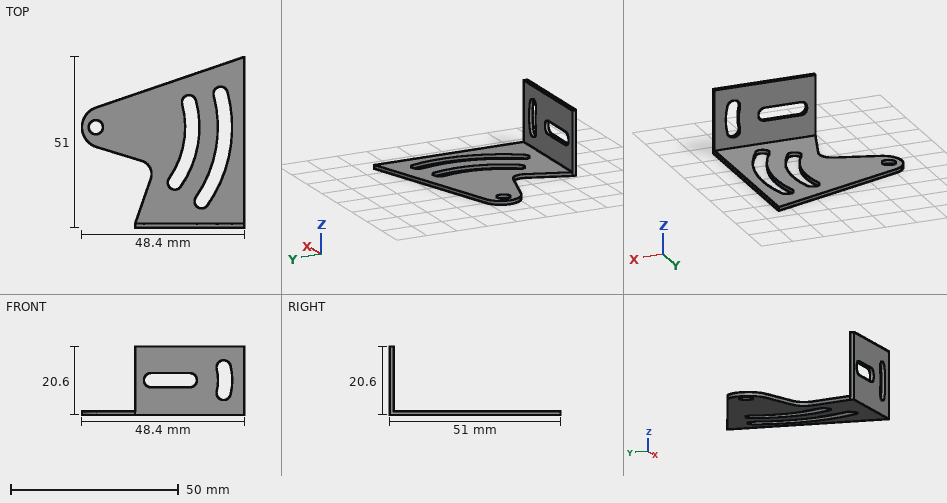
import cadquery as cq
import math

thickness = 1.2
right_x = 44.3
back_y = 21.0
front_y = back_y - 50.95

pivot_diameter = 4.2
nose_center = (2.05, 0.0)
nose_radius = 6.2

notch_corner = (17.75, -11.3)
notch_radius = 4.1

flange_length = 32.6
flange_height = 20.55
flange_left_x = right_x - flange_length

slot_width = 4.2
plate_slot_radii = (28.75, 38.5)
plate_slot_start_angle = -35
plate_slot_end_angle = 15

flange_slot_x = right_x - 22.05
flange_slot_z = 10.45
straight_slot_length = 15.75
curved_slot_radius = 16.3
curved_slot_half_angle = 13.5


def polar(center, radius, degrees):
    """Point at a radius and angle from a centre."""
    angle = math.radians(degrees)
    return (center[0] + radius * math.cos(angle), center[1] + radius * math.sin(angle))


def nose_tangent_point(point, side):
    """Where a line from a point touches the nose: side 1 is the back, -1 the front."""
    dx = point[0] - nose_center[0]
    dy = point[1] - nose_center[1]
    bearing = math.degrees(math.atan2(dy, dx))
    opening = math.degrees(math.acos(nose_radius / math.hypot(dx, dy)))
    return polar(nose_center, nose_radius, bearing + side * opening)


def arc_slot(plane, center, radius, start_angle, end_angle):
    """Closed outline of a round-ended slot along an arc."""
    inner = radius - slot_width / 2
    outer = radius + slot_width / 2
    middle_angle = (start_angle + end_angle) / 2
    cap_angle = math.degrees(slot_width / 2 / radius)
    return (
        plane.moveTo(*polar(center, inner, start_angle))
        .threePointArc(polar(center, inner, middle_angle), polar(center, inner, end_angle))
        .threePointArc(polar(center, radius, end_angle + cap_angle), polar(center, outer, end_angle))
        .threePointArc(polar(center, outer, middle_angle), polar(center, outer, start_angle))
        .threePointArc(polar(center, radius, start_angle - cap_angle), polar(center, inner, start_angle))
        .close()
    )


def make_plate():
    """Flat plate with its nose, notch, pivot hole and two arc slots."""
    back_corner = (right_x, back_y)
    plate = (
        cq.Workplane("XY")
        .moveTo(*back_corner)
        .lineTo(*nose_tangent_point(back_corner, 1))
        .threePointArc(
            polar(nose_center, nose_radius, 180),
            nose_tangent_point(notch_corner, -1),
        )
        .lineTo(*notch_corner)
        .lineTo(flange_left_x, front_y + thickness)
        .lineTo(flange_left_x, front_y)
        .lineTo(right_x, front_y)
        .close()
        .extrude(thickness)
    )
    notch_edge = cq.selectors.NearestToPointSelector((*notch_corner, thickness / 2))
    plate = plate.edges("|Z").edges(notch_edge).fillet(notch_radius)

    plate = plate.cut(cq.Workplane("XY").circle(pivot_diameter / 2).extrude(thickness))
    for radius in plate_slot_radii:
        slot = arc_slot(
            cq.Workplane("XY"), (0, 0), radius, plate_slot_start_angle, plate_slot_end_angle
        )
        plate = plate.cut(slot.extrude(thickness))
    return plate


def flange_workplane():
    """Back face of the flange: local axes are X and Z, and extrusion runs toward -Y."""
    return cq.Workplane("XZ", origin=(0, front_y + thickness, 0))


def make_flange():
    """Upright flange with a straight slot and a curved slot."""
    slot_center = (flange_slot_x, flange_slot_z)
    flange = (
        flange_workplane().moveTo(flange_left_x, 0)
        .lineTo(right_x, 0)
        .lineTo(right_x, flange_height)
        .lineTo(flange_left_x, flange_height)
        .close()
        .extrude(thickness)
    )
    straight_slot = flange_workplane().center(*slot_center).slot2D(straight_slot_length, slot_width)
    curved_slot = arc_slot(
        flange_workplane(),
        slot_center,
        curved_slot_radius,
        -curved_slot_half_angle,
        curved_slot_half_angle,
    )
    return flange.cut(straight_slot.extrude(thickness)).cut(curved_slot.extrude(thickness))


result = make_plate().union(make_flange())